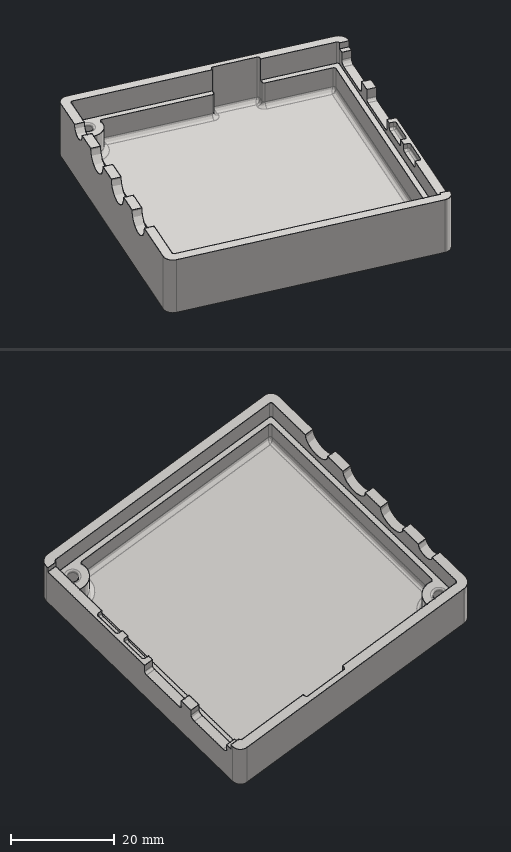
import cadquery as cq

LENGTH_X = 58.7
LENGTH_Y = 59.5
HEIGHT = 12.5
CORNER_RADIUS = 2.0
WALL = 2.0

LEDGE_Z = 7.5
FLOOR_Z = 2.0
LEDGE_WIDTH = 1.2
FLOOR_FILLET = 1.0
SMALL_FILLET = 0.5

BOSS_X = 24.75
BOSS_Y = 25.3
BOSS_RADIUS = 3.3
HOLE_DIAMETER = 2.25

RECESS_CENTRE_Y = 6.6
RECESS_WIDTH = 10.0
RECESS_WALL = 1.2

FRONT_NOTCHES = [(-17.9, 2.0), (-8.05, 3.3), (3.0, 3.3), (14.05, 3.3)]

REAR_TOP_Z = 11.05
REAR_NOTCH_Z = 8.35
REAR_NOTCHES = [(-25.65, -15.2, 1.0), (-12.3, -1.55, 0.6)]

SLOT_Z = 9.5
SLOT_WIDTH = 6.0
SLOT_BACK_WALL = 0.7
SLOT_CENTRES_X = [2.7, 10.35]

CAVITY_X = LENGTH_X - 2 * WALL
CAVITY_Y = LENGTH_Y - 2 * WALL
POCKET_X = CAVITY_X - 2 * LEDGE_WIDTH
POCKET_Y = CAVITY_Y - 2 * LEDGE_WIDTH
REAR_CUT_WIDTH = CAVITY_X - 2 * SMALL_FILLET
REAR_INNER_Y = LENGTH_Y / 2 - WALL


def block(x_range, y_range, z_range):
    """Axis-aligned box given by its limits along X, Y and Z."""
    limits = (x_range, y_range, z_range)
    sizes = [high - low for low, high in limits]
    lows = tuple(low for low, _ in limits)
    return cq.Workplane("XY").box(*sizes, centered=False).translate(lows)


def make_pocket():
    """Solid shape of the lower pocket together with the left wall recess."""
    height = HEIGHT - FLOOR_Z
    pocket = cq.Workplane("XY").box(POCKET_X, POCKET_Y, height, centered=(True, True, False))
    for side in (-1, 1):
        boss = (
            cq.Workplane("XY")
            .center(side * BOSS_X, side * BOSS_Y)
            .circle(BOSS_RADIUS)
            .extrude(height)
        )
        pocket = pocket.cut(boss)
    recess = block(
        (-LENGTH_X / 2 + RECESS_WALL, 0),
        (RECESS_CENTRE_Y - RECESS_WIDTH / 2, RECESS_CENTRE_Y + RECESS_WIDTH / 2),
        (0, height),
    )
    pocket = pocket.union(recess)
    pocket = pocket.edges("|Z").fillet(SMALL_FILLET)
    pocket = pocket.faces("<Z").edges().fillet(FLOOR_FILLET)
    return pocket.translate((0, 0, FLOOR_Z))


def make_front_notch(centre_x, radius):
    """Round cutter lying along Y, centred on the top edge of the front wall."""
    return (
        cq.Workplane("XZ", origin=(centre_x, -LENGTH_Y / 2 + WALL, HEIGHT))
        .circle(radius)
        .extrude(WALL)
    )


def make_rear_notch(left, right, radius):
    """Cutter for an open notch in the rear wall with rounded lower corners."""
    notch = block((left, right), (REAR_INNER_Y, LENGTH_Y / 2), (REAR_NOTCH_Z, HEIGHT))
    return notch.faces("<Z").edges("|Y").fillet(radius)


def make_rear_slot(centre_x):
    """Cutter for a slot open to the top and to the inside of the rear wall."""
    slot = block(
        (centre_x - SLOT_WIDTH / 2, centre_x + SLOT_WIDTH / 2),
        (REAR_INNER_Y - WALL, LENGTH_Y / 2 - SLOT_BACK_WALL),
        (SLOT_Z, HEIGHT),
    )
    return slot.edges("(>Y or <Z) and (not <Y) and (not >Z)").fillet(SMALL_FILLET)


body = cq.Workplane("XY").box(LENGTH_X, LENGTH_Y, HEIGHT, centered=(True, True, False))
body = body.edges("|Z").fillet(CORNER_RADIUS)

cavity = (
    cq.Workplane("XY")
    .box(CAVITY_X, CAVITY_Y, HEIGHT - LEDGE_Z, centered=(True, True, False))
    .edges("|Z")
    .fillet(SMALL_FILLET)
    .translate((0, 0, LEDGE_Z))
)
body = body.cut(cavity).cut(make_pocket())

for centre_x, radius in FRONT_NOTCHES:
    body = body.cut(make_front_notch(centre_x, radius))

body = body.cut(
    block(
        (-REAR_CUT_WIDTH / 2, REAR_CUT_WIDTH / 2),
        (REAR_INNER_Y, LENGTH_Y / 2),
        (REAR_TOP_Z, HEIGHT),
    )
)
for left, right, radius in REAR_NOTCHES:
    body = body.cut(make_rear_notch(left, right, radius))
for centre_x in SLOT_CENTRES_X:
    body = body.cut(make_rear_slot(centre_x))

for side in (-1, 1):
    hole_x = side * BOSS_X
    hole_y = side * BOSS_Y
    hole = cq.Workplane("XY").center(hole_x, hole_y).circle(HOLE_DIAMETER / 2).extrude(LEDGE_Z)
    mouth = cq.NearestToPointSelector((hole_x, hole_y, LEDGE_Z))
    body = body.cut(hole).edges("%CIRCLE").edges(mouth).fillet(SMALL_FILLET)

result = body